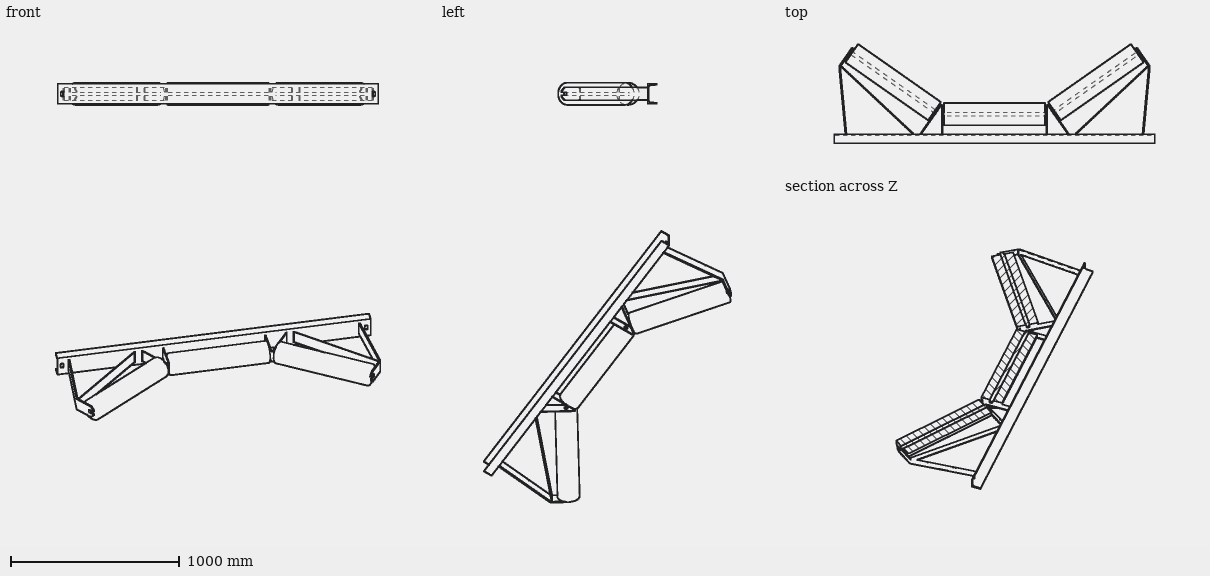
import cadquery as cq
import math

channel_length = 1900.0
channel_height = 120.0
channel_width = 55.0
web_thickness = 7.0
flange_thickness = 9.0
flange_slope = 0.08
root_radius = 9.0
toe_radius = 4.5

slot_width = 18.0
slot_length = 30.0
slot_end_distance = 28.0

roller_diameter = 133.0
roller_length = 600.0
roller_edge_radius = 5.0
trough_angle = 35.0
centre_axis_y = 173.0
wing_centre_x = 600.5
total_depth = 586.41

shaft_diameter = 20.0

strip_width = 75.0
outer_thickness = 8.0
inner_thickness = 5.0
brace_thickness = 4.0
outer_gap = 9.0
inner_gap = 7.0
outer_bend_radius = 13.0
inner_bend_radius = 6.0
arm_above_axis = 28.0
arm_below_axis = 106.0
arm_corner_cut = 20.0
post_foot_x = 880.0
brace_foot_x = 477.0
brace_above_bend = 7.0

tilt = math.radians(trough_angle)
radius = roller_diameter / 2
wing_dir = cq.Vector(math.cos(tilt), -math.sin(tilt))
wing_up = cq.Vector(math.sin(tilt), math.cos(tilt))
edge_centre_along = roller_length / 2 - roller_edge_radius
edge_centre_up = radius - roller_edge_radius
edge_centre_rise = edge_centre_along * math.sin(tilt) + edge_centre_up * math.cos(tilt)
wing_axis_y = total_depth - roller_edge_radius - edge_centre_rise
wing_centre = cq.Vector(-wing_centre_x, wing_axis_y)
centre_roller = cq.Vector(0, centre_axis_y)

outer_offset = roller_length / 2 + outer_gap + outer_thickness / 2
inner_offset = roller_length / 2 + inner_gap + inner_thickness / 2
foot_y = channel_width - web_thickness / 2


def on_line_at_y(point, direction, y):
    return point + direction * ((y - point.y) / direction.y)


def on_line_at_x(point, direction, x):
    return point + direction * ((x - point.x) / direction.x)


def side_point(previous, corner, following, offset):
    """Corner of the line that runs beside previous, corner, following at this offset to the left."""
    into = (corner - previous).normalized()
    away = (following - corner).normalized()
    normal = cq.Vector(-into.y, into.x)
    mitre = (normal + cq.Vector(-away.y, away.x)).normalized()
    return corner + mitre * (offset / mitre.dot(normal))


def straight_strip(start, end, thickness):
    run = end - start
    middle = (start + end) * 0.5
    return (
        cq.Workplane("XY")
        .box(run.Length, thickness, strip_width)
        .rotate((0, 0, 0), (0, 0, 1), math.degrees(math.atan2(run.y, run.x)))
        .translate(middle)
    )


def bent_strip(start, corner, end, thickness, bend_radius):
    """Flat strip with one bend, rounded on both faces."""
    half = thickness / 2

    def side(offset):
        into = (corner - start).normalized()
        away = (end - corner).normalized()
        return [
            start + cq.Vector(-into.y, into.x) * offset,
            side_point(start, corner, end, offset),
            end + cq.Vector(-away.y, away.x) * offset,
        ]

    left = side(half)
    right = side(-half)
    outline = [(p.x, p.y) for p in left + right[::-1]]
    strip = (
        cq.Workplane("XY")
        .polyline(outline)
        .close()
        .extrude(strip_width / 2, both=True)
    )
    outer = left[1].toTuple()
    inner = right[1].toTuple()
    strip = strip.edges(cq.NearestToPointSelector(outer)).fillet(bend_radius + half)
    return strip.edges(cq.NearestToPointSelector(inner)).fillet(bend_radius - half)


def on_axis(solid, centre, angle):
    """Turn a shape modelled along X by the angle and move it onto a roller axis."""
    return solid.rotate((0, 0, 0), (0, 0, 1), angle).translate(centre)


def mirrored(body):
    return body.mirror("YZ")


def make_channel():
    """Channel with tapered flanges and a slot near each end of its web."""
    half_height = channel_height / 2
    toe_inner = half_height - flange_thickness + flange_slope * channel_width / 2
    root_inner = toe_inner - flange_slope * (channel_width - web_thickness)
    inner_face_y = channel_width - web_thickness
    profile = [
        (channel_width, half_height),
        (0, half_height),
        (0, toe_inner),
        (inner_face_y, root_inner),
        (inner_face_y, -root_inner),
        (0, -toe_inner),
        (0, -half_height),
        (channel_width, -half_height),
    ]
    channel = (
        cq.Workplane("YZ")
        .polyline(profile)
        .close()
        .extrude(channel_length / 2, both=True)
    )
    for sign in (1, -1):
        root = (0, inner_face_y, sign * root_inner)
        toe = (0, 0, sign * toe_inner)
        channel = channel.edges(cq.NearestToPointSelector(root)).fillet(root_radius)
        channel = channel.edges(cq.NearestToPointSelector(toe)).fillet(toe_radius)
    slot_x = channel_length / 2 - slot_end_distance
    slots = (
        cq.Workplane("XZ")
        .pushPoints([(-slot_x, 0), (slot_x, 0)])
        .slot2D(slot_length, slot_width, 90)
        .extrude(-channel_width)
    )
    return channel.cut(slots)


def shaft_slot(length):
    """Cutter along a shaft axis, open on the upper side."""
    round_end = cq.Workplane("YZ").circle(shaft_diameter / 2).extrude(length / 2, both=True)
    opening = cq.Workplane("XY").box(length, roller_diameter, shaft_diameter)
    return round_end.union(opening.translate((0, roller_diameter / 2, 0)))


def corner_cutter():
    """Triangles that cut the two corners off the tip of an arm."""
    cutter = cq.Workplane("YZ")
    half = strip_width / 2
    for sign in (1, -1):
        cutter = (
            cutter.moveTo(arm_above_axis, sign * half)
            .lineTo(arm_above_axis - arm_corner_cut, sign * half)
            .lineTo(arm_above_axis, sign * (half - arm_corner_cut))
            .close()
        )
    return cutter.extrude(outer_thickness, both=True)


def make_outer_bracket():
    """Post and slotted arm in one bent strip, with a diagonal brace under the bend."""
    arm_axis = wing_centre - wing_dir * outer_offset
    tip = arm_axis + wing_up * arm_above_axis
    bend = arm_axis - wing_up * arm_below_axis
    post_foot = cq.Vector(-post_foot_x, foot_y)
    strip = bent_strip(post_foot, bend, tip, outer_thickness, outer_bend_radius)
    cutter = corner_cutter().union(shaft_slot(2 * outer_thickness))
    strip = strip.cut(on_axis(cutter, arm_axis, -trough_angle))

    brace_top = bend + wing_up * brace_above_bend
    brace_foot = cq.Vector(-brace_foot_x, foot_y)
    return strip.union(straight_strip(brace_top, brace_foot, brace_thickness))


def make_inner_bracket():
    """Strip folded over between the wing and centre rollers, with a hole for each shaft."""
    plate_axis = wing_centre + wing_dir * inner_offset
    post_axis = cq.Vector(-inner_offset, centre_axis_y)
    apex = on_line_at_x(plate_axis, wing_up, post_axis.x)
    plate_foot = on_line_at_y(plate_axis, wing_up, foot_y)
    post_foot = cq.Vector(post_axis.x, foot_y)
    strip = bent_strip(plate_foot, apex, post_foot, inner_thickness, inner_bend_radius)
    hole = cq.Workplane("YZ").circle(shaft_diameter / 2).extrude(inner_thickness, both=True)
    strip = strip.cut(on_axis(hole, plate_axis, -trough_angle))
    return strip.cut(on_axis(hole, post_axis, 0))


def make_frame():
    frame = make_channel()
    for bracket in (make_outer_bracket(), make_inner_bracket()):
        frame = frame.union(bracket).union(mirrored(bracket))
    return frame.solids()


def make_shell():
    """Roller body with rounded ends, bored for its shaft."""
    return (
        cq.Workplane("YZ", origin=(-roller_length / 2, 0, 0))
        .circle(radius)
        .extrude(roller_length)
        .edges()
        .fillet(roller_edge_radius)
        .faces("<X")
        .workplane()
        .hole(shaft_diameter)
        .solids()
    )


def make_shaft(start_reach, end_reach):
    return (
        cq.Workplane("YZ", origin=(-start_reach, 0, 0))
        .circle(shaft_diameter / 2)
        .extrude(start_reach + end_reach)
    )


inner_end = inner_offset + inner_thickness / 2
outer_end = outer_offset + outer_thickness / 2

frame = make_frame()
centre_shell = on_axis(make_shell(), centre_roller, 0)
centre_shaft = on_axis(make_shaft(inner_end, inner_end), centre_roller, 0)
bodies = [frame, centre_shell, centre_shaft]

wing_shell = on_axis(make_shell(), wing_centre, -trough_angle)
wing_shaft = on_axis(make_shaft(outer_end, inner_end), wing_centre, -trough_angle)
for wing_body in (wing_shell, wing_shaft):
    bodies += [wing_body, mirrored(wing_body)]

result = cq.Compound.makeCompound([body.val() for body in bodies])